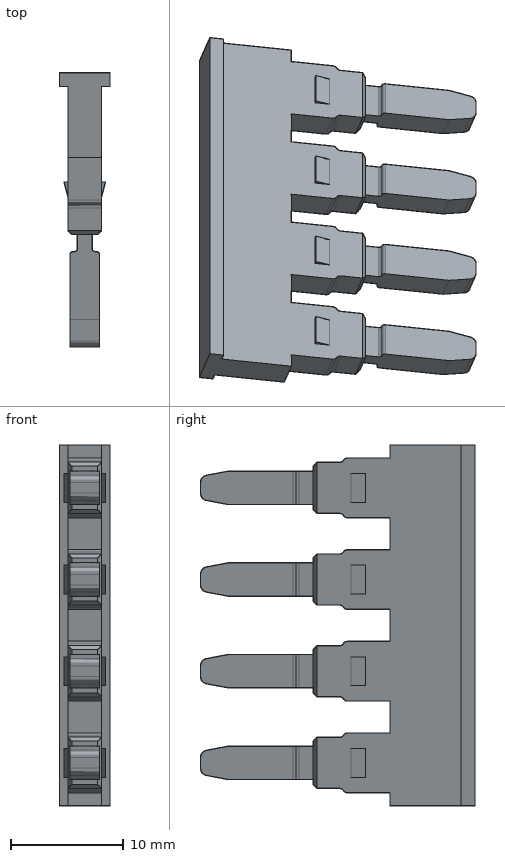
import cadquery as cq


spine_length = 32.2
flange_width = 4.5
flange_thickness = 1.25
web_width = 3.03
web_reach = 7.6

finger_count = 4
finger_pitch = 8.18

root_height = 5.35
step_depth = 0.4
nose_height = root_height - 2 * step_depth
ramp_start_reach = 11.6
ramp_length = 0.3
ramp_radius = 0.42
block_reach = 14.1
nose_chamfer = 0.35
nose_reach = block_reach + nose_chamfer

latch_back_reach = 9.75
latch_length = 1.32
latch_height = 2.58
latch_projection = 0.35

blade_reach = 24.5
blade_height = 3.0
blade_width = 2.65
neck_width = 1.35
shoulder_reach = 15.97
shoulder_radius = 0.25
taper_start_reach = 22.02
tip_height = 2.05
tip_radius = 0.68

web_half_width = web_width / 2
blade_half_width = blade_width / 2

span_margin = 0.03


def make_spine():
    flange = cq.Workplane("XY").box(flange_width, flange_thickness, spine_length)
    flange = flange.translate((0, -flange_thickness / 2, 0))
    web = cq.Workplane("XY").box(web_width, web_reach, spine_length)
    web = web.translate((0, -web_reach / 2, 0))
    return flange.union(web)


def mirrored_outline(plane, points):
    """Close half an outline with its mirror image; points are (reach, half size).

    Reach runs along the negative first axis, which is -Y on the YZ plane. Solids
    drawn on the XY plane must be turned 90 degrees about Z to point along -Y.
    """
    near_side = [(-reach, -half) for reach, half in points]
    far_side = [(-reach, half) for reach, half in reversed(points)]
    return cq.Workplane(plane).polyline(near_side + far_side).close()


def edges_between(solid, direction, start_reach, end_reach):
    """Edges along a direction whose centers lie within a span of reach."""
    span = cq.selectors.BoxSelector(
        (-spine_length, -end_reach - span_margin, -spine_length),
        (spine_length, -start_reach + span_margin, spine_length),
    )
    return solid.edges(direction).edges(span)


def make_block():
    """Block with rounded ramps above and below, and a chamfered front end."""
    ramp_end_reach = ramp_start_reach + ramp_length
    outline = [
        (0, root_height / 2),
        (ramp_start_reach, root_height / 2),
        (ramp_end_reach, nose_height / 2),
        (nose_reach, nose_height / 2),
    ]
    block = mirrored_outline("YZ", outline).extrude(web_half_width, both=True)
    block = edges_between(block, "|X", ramp_start_reach, ramp_end_reach).fillet(ramp_radius)
    return block.faces("<Y").chamfer(nose_chamfer)


def make_latches():
    """Wedge on each side, full at the back and fading out toward the front."""
    outline = [
        (latch_back_reach, web_half_width + latch_projection),
        (latch_back_reach + latch_length, web_half_width),
    ]
    wedges = mirrored_outline("XY", outline).extrude(latch_height / 2, both=True)
    return wedges.rotate((0, 0, 0), (0, 0, 1), 90)


def make_blade():
    """Flat blade: its plan gives the neck and shoulders, its side profile the tip."""
    plan_outline = [
        (block_reach, neck_width / 2),
        (shoulder_reach, neck_width / 2),
        (shoulder_reach, blade_half_width),
        (blade_reach, blade_half_width),
    ]
    plan = (
        mirrored_outline("XY", plan_outline)
        .extrude(blade_height / 2, both=True)
        .rotate((0, 0, 0), (0, 0, 1), 90)
    )
    plan = edges_between(plan, "|Z", shoulder_reach, shoulder_reach).fillet(shoulder_radius)

    side_outline = [
        (block_reach, blade_height / 2),
        (taper_start_reach, blade_height / 2),
        (blade_reach, tip_height / 2),
    ]
    side = mirrored_outline("YZ", side_outline).extrude(blade_half_width, both=True)
    side = side.faces("<Y").edges("|X").fillet(tip_radius)
    return plan.intersect(side)


finger = make_block().union(make_latches()).union(make_blade())

result = make_spine()
for index in range(finger_count):
    finger_z = (index - (finger_count - 1) / 2) * finger_pitch
    result = result.union(finger.translate((0, 0, finger_z)))